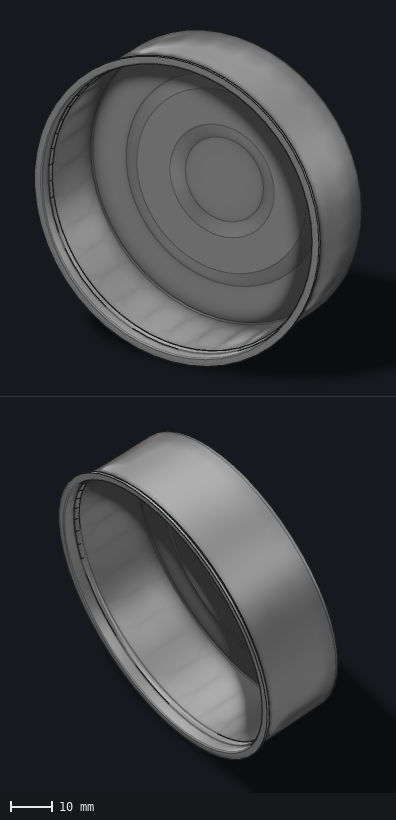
import cadquery as cq

rim_radius = 39.9
depth = 24.0

wall_radius_front = 38.9
wall_radius_back = 38.5
back_edge_round = 1.4

flange_thickness = 0.7
flange_slope_height = 0.3
flange_slope_width = 0.5
flange_top = 1.4

mouth_radius = 37.8
mouth_edge_round = 0.3
floor_radius = 37.3
floor_thickness = 1.2
floor_edge_round = 0.4

bead_start = 3.0
bead_end = 4.6
bead_radius_front = 37.75
bead_radius_crest = 37.3
bead_radius_back = 37.6
bead_blend_round = 0.2

ring_height = 1.1
ring_flank_width = 3.7
ring_outer_radius = 27.5
ring_inner_radius = 10.9


def revolve_about_y(profile):
    """Turn a closed (radius, Y) profile once around the Y axis."""
    return profile.close().revolve(360, (0, 0, 0), (0, 1, 0))


def make_body():
    """Solid outside shape: flange, tapered wall and rounded back edge."""
    body = revolve_about_y(
        cq.Workplane("XY")
        .moveTo(0, 0)
        .lineTo(rim_radius, 0)
        .lineTo(rim_radius, flange_thickness)
        .lineTo(rim_radius - flange_slope_width, flange_thickness + flange_slope_height)
        .lineTo(wall_radius_front, flange_top)
        .lineTo(wall_radius_back, depth)
        .lineTo(0, depth)
    )
    return body.faces(">Y").edges().fillet(back_edge_round)


def make_cavity():
    """Inside space: mouth, retaining bead, tapered wall and rounded floor edge."""
    floor_y = depth - floor_thickness
    bead_middle = (bead_start + bead_end) / 2
    cavity = revolve_about_y(
        cq.Workplane("XY")
        .moveTo(0, 0)
        .lineTo(mouth_radius, 0)
        .lineTo(bead_radius_front, bead_start)
        .threePointArc((bead_radius_crest, bead_middle), (bead_radius_back, bead_end))
        .lineTo(floor_radius, floor_y)
        .lineTo(0, floor_y)
    )
    cavity = cavity.faces(">Y").edges().fillet(floor_edge_round)
    for bead_edge_y in (bead_start, bead_end):
        bead_edge = cavity.edges("%CIRCLE").filter(
            lambda edge: abs(edge.Center().y - bead_edge_y) < bead_blend_round / 2
        )
        cavity = bead_edge.fillet(bead_blend_round)
    return cavity


def make_shell():
    """Hollow cap with a rounded inner edge at the mouth."""
    shell = make_body().cut(make_cavity())
    mouth_edge = shell.faces("<Y").edges(cq.selectors.RadiusNthSelector(0))
    return mouth_edge.fillet(mouth_edge_round)


def make_floor_ring():
    """Raised ring, rooted in the middle of the floor's thickness."""
    root_y = depth - floor_thickness / 2
    floor_y = depth - floor_thickness
    crest_y = floor_y - ring_height
    return revolve_about_y(
        cq.Workplane("XY")
        .moveTo(ring_inner_radius, root_y)
        .lineTo(ring_inner_radius, floor_y)
        .lineTo(ring_inner_radius + ring_flank_width, crest_y)
        .lineTo(ring_outer_radius - ring_flank_width, crest_y)
        .lineTo(ring_outer_radius, floor_y)
        .lineTo(ring_outer_radius, root_y)
    )


result = make_shell().union(make_floor_ring())